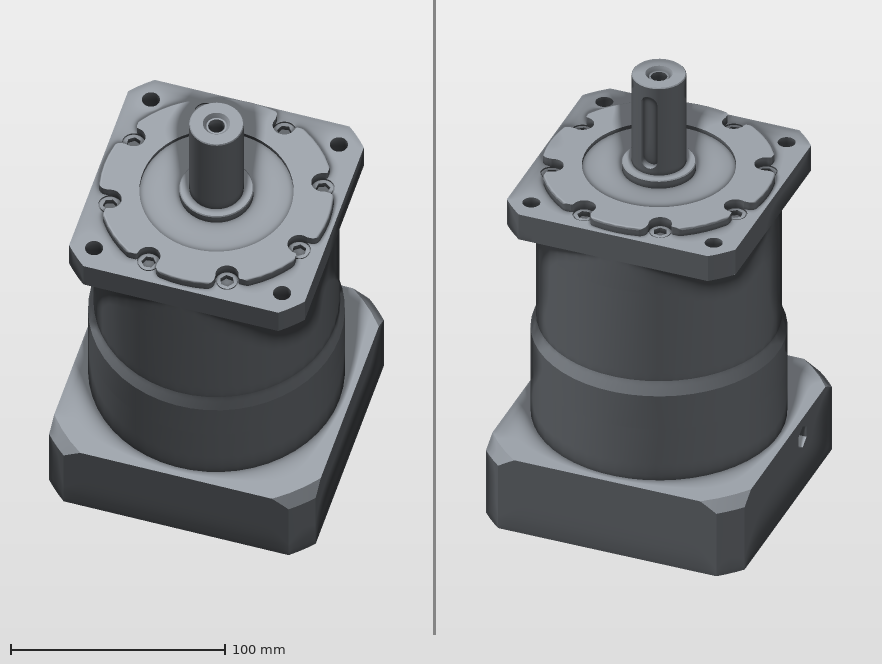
import cadquery as cq
import math

TOTAL_HEIGHT = 228.0
ADAPTER_TOP = 40.0
SPIGOT_TOP = 42.9
RING_GEAR_BOTTOM = 68.5
SHOULDER_BOTTOM = 86.9
SHOULDER_TOP = 93.7
RING_GEAR_TOP = 142.7
FLANGE_BOTTOM = 158.7
FLANGE_TOP = 172.5
PAD_TOP = 177.0
COLLAR_TOP = 179.2

ADAPTER_WIDTH = 130.0
ADAPTER_CORNER_RADIUS = 85.0
ADAPTER_BEVEL = 5.0

BARREL_RADIUS = 60.0
FLANGE_WIDTH = 115.0
NECK_RADIUS = FLANGE_WIDTH / 2
FLANGE_CORNER_RADIUS = 74.5
MOUNT_HOLE_SPACING = 91.7
MOUNT_HOLE_DIAMETER = 8.5

PAD_RADIUS = 55.0
PAD_RIM_FILLET = 1.1
PAD_CORNER_FILLET = 3.6
PAD_CUSP_FILLET = 1.1
NOTCH_NEAR_WALL_OFFSET = 5.0
NOTCH_FAR_WALL_OFFSET = 0.5
SEAL_RECESS_RADIUS = 36.0
SEAL_RECESS_DEPTH = 2.0
SCREW_COUNT = 8
SCREW_CIRCLE_RADIUS = 50.0
SCREW_POCKET_RADIUS = 5.5
SCREW_POCKET_DEPTH = 1.0
SCREW_HEAD_RADIUS = 4.8
SCREW_HEAD_HEIGHT = 0.7
SCREW_SOCKET_WIDTH = 6.0
SCREW_SOCKET_DEPTH = 2.7

SHAFT_RADIUS = 12.8
SHAFT_CHAMFER = 0.5
COLLAR_RADIUS = 17.3
COLLAR_CHAMFER = 0.5
KEYWAY_WIDTH = 8.0
KEYWAY_LENGTH = 40.0
KEYWAY_DEPTH = 4.0
KEYWAY_CENTRE_HEIGHT = 202.5
COUNTERSINK_TOP_RADIUS = 6.4
COUNTERSINK_BOTTOM_RADIUS = 4.8
COUNTERSINK_DEPTH = 1.8
CENTRE_HOLE_RADIUS = 3.9
CENTRE_HOLE_DEPTH = 20.5
DRILL_POINT_ANGLE = 118

PLUG_RADIUS = 8.0
PLUG_LENGTH = 10.0
PLUG_Y = -18.0
PLUG_HEIGHT = 29.5
PLUG_SOCKET_WIDTH = 10.0
PLUG_SOCKET_DEPTH = 4.5


def turned(points):
    """Solid of revolution about Z from (radius, height) points, with one face per outline segment."""
    return cq.Workplane("XZ").polyline(points).close().revolve(360, (0, 0), (0, 1), clean=False)


def square_block(width, bottom, top):
    """Upright square block centred on Z."""
    return cq.Workplane("XY", origin=(0, 0, bottom)).rect(width, width).extrude(top - bottom)


def disc(radius, bottom, top, x=0, y=0):
    """Upright cylinder."""
    return cq.Workplane("XY", origin=(x, y, bottom)).circle(radius).extrude(top - bottom)


def upright_hex(width, bottom, top):
    """Upright hexagonal prism, sized across its flats."""
    corner_diameter = width / math.cos(math.pi / 6)
    return cq.Workplane("XY", origin=(0, 0, bottom)).polygon(6, corner_diameter).extrude(top - bottom)


def plug_cylinder():
    """Full plug shape, flush with the -X side of the adapter."""
    return (
        cq.Workplane("YZ", origin=(-ADAPTER_WIDTH / 2, PLUG_Y, PLUG_HEIGHT))
        .circle(PLUG_RADIUS)
        .extrude(PLUG_LENGTH)
    )


def make_plug():
    corner_diameter = PLUG_SOCKET_WIDTH / math.cos(math.pi / 6)
    socket = (
        cq.Workplane("YZ", origin=(-ADAPTER_WIDTH / 2, PLUG_Y, PLUG_HEIGHT))
        .transformed(rotate=(0, 0, 90))
        .polygon(6, corner_diameter)
        .extrude(PLUG_SOCKET_DEPTH)
    )
    return plug_cylinder().cut(socket)


def make_adapter():
    envelope = turned([
        (0, 0),
        (ADAPTER_CORNER_RADIUS, 0),
        (ADAPTER_CORNER_RADIUS, ADAPTER_TOP - ADAPTER_BEVEL),
        (ADAPTER_CORNER_RADIUS - ADAPTER_BEVEL, ADAPTER_TOP),
        (0, ADAPTER_TOP),
    ])
    block = square_block(ADAPTER_WIDTH, 0, ADAPTER_TOP).intersect(envelope)
    spigot = disc(BARREL_RADIUS, ADAPTER_TOP, SPIGOT_TOP)
    return block.union(spigot).cut(plug_cylinder())


def make_barrel():
    """Turned barrel; the extra points on its straight runs mark the joints of the ring gear."""
    return turned([
        (0, SPIGOT_TOP),
        (BARREL_RADIUS, SPIGOT_TOP),
        (BARREL_RADIUS, RING_GEAR_BOTTOM),
        (BARREL_RADIUS, SHOULDER_BOTTOM),
        (NECK_RADIUS, SHOULDER_TOP),
        (NECK_RADIUS, RING_GEAR_TOP),
        (NECK_RADIUS, FLANGE_BOTTOM),
        (0, FLANGE_BOTTOM),
    ])


def make_flange():
    envelope = disc(FLANGE_CORNER_RADIUS, FLANGE_BOTTOM, FLANGE_TOP)
    plate = square_block(FLANGE_WIDTH, FLANGE_BOTTOM, FLANGE_TOP).intersect(envelope)
    return (
        plate.faces(">Z").workplane(origin=(0, 0, FLANGE_TOP))
        .rect(MOUNT_HOLE_SPACING, MOUNT_HOLE_SPACING, forConstruction=True)
        .vertices()
        .hole(MOUNT_HOLE_DIAMETER)
    )


def screw_angles():
    """Directions of the screws, in degrees from +X, half a pitch off the axes."""
    pitch = 360 / SCREW_COUNT
    return [(i + 0.5) * pitch for i in range(SCREW_COUNT)]


def screw_position(angle):
    return (
        SCREW_CIRCLE_RADIUS * math.cos(math.radians(angle)),
        SCREW_CIRCLE_RADIUS * math.sin(math.radians(angle)),
    )


def make_notches():
    """Pad cut-outs: a round pocket at each screw, opened to the rim by a square corner.

    The near wall of the square lies between the screw and the nearest axis. The far wall, at a
    right angle to it, passes close to the screw centre.
    """
    x, y = screw_position(screw_angles()[0])
    corner = (
        cq.Workplane("XY", origin=(x + NOTCH_FAR_WALL_OFFSET, y - NOTCH_NEAR_WALL_OFFSET, FLANGE_TOP))
        .rect(PAD_RADIUS, PAD_RADIUS, centered=False)
        .extrude(PAD_TOP - FLANGE_TOP)
    )
    notch = corner.union(disc(SCREW_POCKET_RADIUS, FLANGE_TOP, PAD_TOP, x, y))
    pair = notch.union(notch.mirror("XZ"))
    notches = pair
    for quarter in range(1, 4):
        notches = notches.union(pair.rotate((0, 0, 0), (0, 0, 1), 90 * quarter))
    return notches


def cusp_distance():
    """Distance from the pad centre to the cusp where a far wall runs into its pocket."""
    x, y = screw_position(screw_angles()[0])
    rise = math.sqrt(SCREW_POCKET_RADIUS**2 - NOTCH_FAR_WALL_OFFSET**2)
    return math.hypot(x + NOTCH_FAR_WALL_OFFSET, y + rise)


def round_upright_edges(body, distance, radius):
    """Fillet the upright edges that stand at the given distance from Z."""
    def at_distance(edge):
        middle = edge.Center()
        return math.isclose(math.hypot(middle.x, middle.y), distance, abs_tol=0.02)

    return body.edges("|Z").filter(at_distance).fillet(radius)


def make_pad():
    """Notched pad with rounded corners. The fillet of its top rim is turned and skips the notches."""
    pad = disc(PAD_RADIUS, FLANGE_TOP, PAD_TOP).cut(make_notches())
    pad = round_upright_edges(pad, cusp_distance(), PAD_CUSP_FILLET)
    pad = round_upright_edges(pad, PAD_RADIUS, PAD_CORNER_FILLET)
    envelope = disc(PAD_RADIUS, FLANGE_TOP, PAD_TOP).faces(">Z").edges().fillet(PAD_RIM_FILLET)
    return pad.intersect(envelope)


def make_screw_cut():
    """Cut for one sunk screw: a pocket down through pad and flange, around a socket head."""
    floor = FLANGE_TOP - SCREW_POCKET_DEPTH
    head_top = floor + SCREW_HEAD_HEIGHT
    pocket = disc(SCREW_POCKET_RADIUS, floor, PAD_TOP)
    head = disc(SCREW_HEAD_RADIUS, floor, head_top)
    socket = upright_hex(SCREW_SOCKET_WIDTH, head_top - SCREW_SOCKET_DEPTH, head_top)
    return pocket.cut(head).union(socket)


def make_housing():
    head = make_flange().union(make_pad())
    head = head.cut(disc(SEAL_RECESS_RADIUS, PAD_TOP - SEAL_RECESS_DEPTH, PAD_TOP))
    screw_cut = make_screw_cut().translate((SCREW_CIRCLE_RADIUS, 0, 0))
    for angle in screw_angles():
        head = head.cut(screw_cut.rotate((0, 0, 0), (0, 0, 1), angle))
    return make_barrel().union(head, clean=False)


def make_shaft():
    """Output shaft with its collar standing on the floor of the seal recess."""
    base = PAD_TOP - SEAL_RECESS_DEPTH
    shaft = turned([
        (0, base),
        (COLLAR_RADIUS, base),
        (COLLAR_RADIUS, COLLAR_TOP - COLLAR_CHAMFER),
        (COLLAR_RADIUS - COLLAR_CHAMFER, COLLAR_TOP),
        (SHAFT_RADIUS, COLLAR_TOP),
        (SHAFT_RADIUS, TOTAL_HEIGHT - SHAFT_CHAMFER),
        (SHAFT_RADIUS - SHAFT_CHAMFER, TOTAL_HEIGHT),
        (0, TOTAL_HEIGHT),
    ])
    return shaft.cut(make_keyway()).cut(make_centre_hole())


def make_keyway():
    """Round-ended slot along the +Y side of the shaft."""
    return (
        cq.Workplane("XZ", origin=(0, SHAFT_RADIUS, KEYWAY_CENTRE_HEIGHT))
        .slot2D(KEYWAY_LENGTH, KEYWAY_WIDTH, 90)
        .extrude(KEYWAY_DEPTH)
    )


def make_centre_hole():
    """Drilled centre hole below a countersink that ends in a narrow flat step."""
    point_depth = CENTRE_HOLE_RADIUS / math.tan(math.radians(DRILL_POINT_ANGLE / 2))
    drill_end = TOTAL_HEIGHT - CENTRE_HOLE_DEPTH
    step_height = TOTAL_HEIGHT - COUNTERSINK_DEPTH
    return turned([
        (0, drill_end - point_depth),
        (CENTRE_HOLE_RADIUS, drill_end),
        (CENTRE_HOLE_RADIUS, step_height),
        (COUNTERSINK_BOTTOM_RADIUS, step_height),
        (COUNTERSINK_TOP_RADIUS, TOTAL_HEIGHT),
        (0, TOTAL_HEIGHT),
    ])


adapter = make_adapter()
housing = make_housing()
shaft = make_shaft()
plug = make_plug()

result = cq.Compound.makeCompound([adapter.val(), housing.val(), shaft.val(), plug.val()])